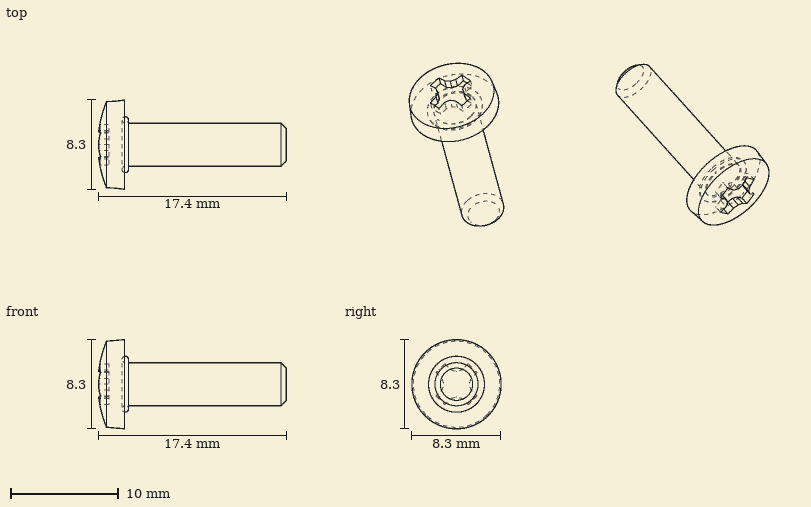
import cadquery as cq
import math

overall_length = 17.43
shank_length = 15.0
shank_radius = 2.0
tip_chamfer = 0.5

head_rim_radius = 4.0
head_base_radius = 4.15
dome_radius = 10.5

recess_depth = 0.95
wing_reach = 2.1
wing_half_width = 0.575
wing_root_reach = 1.31
waist_reach = 1.175
wing_count = 4
first_wing_angle = 45.0

ring_section_radius = 0.3
ring_protrusion = 0.36

underside_x = overall_length - shank_length
dome_centre_x = math.sqrt(dome_radius**2 - waist_reach**2)
dome_apex_x = dome_centre_x - dome_radius
ring_centre_x = underside_x + ring_protrusion - ring_section_radius

ring_mean_radius = shank_radius + ring_section_radius


def dome_x(radius):
    """X of the dome surface at a distance from the axis."""
    return dome_centre_x - math.sqrt(dome_radius**2 - radius**2)


def make_blank():
    """Domed head, flared head side and chamfered shank, turned about X."""
    mid_radius = head_rim_radius / 2
    profile = (
        cq.Workplane("XZ")
        .moveTo(dome_apex_x, 0)
        .threePointArc((dome_x(mid_radius), mid_radius), (dome_x(head_rim_radius), head_rim_radius))
        .lineTo(underside_x, head_base_radius)
        .lineTo(underside_x, shank_radius)
        .lineTo(overall_length - tip_chamfer, shank_radius)
        .lineTo(overall_length, shank_radius - tip_chamfer)
        .lineTo(overall_length, 0)
        .close()
    )
    return profile.revolve(360, (0, 0, 0), (1, 0, 0))


def from_wing_axis(along, across, angle):
    """Turn a point given along and across a wing into (Y, Z)."""
    return (
        along * math.cos(angle) - across * math.sin(angle),
        along * math.sin(angle) + across * math.cos(angle),
    )


def make_recess():
    """Cross recess: straight wings with a shallow corner between neighbours."""
    outline = []
    wing_pitch = 2 * math.pi / wing_count
    for i in range(wing_count):
        angle = math.radians(first_wing_angle) + i * wing_pitch
        outline.append(from_wing_axis(wing_root_reach, -wing_half_width, angle))
        outline.append(from_wing_axis(wing_reach, -wing_half_width, angle))
        outline.append(from_wing_axis(wing_reach, wing_half_width, angle))
        outline.append(from_wing_axis(wing_root_reach, wing_half_width, angle))
        outline.append(from_wing_axis(waist_reach, 0, angle + wing_pitch / 2))
    start = cq.Workplane("YZ", origin=(dome_apex_x, 0, 0))
    return start.polyline(outline).close().extrude(recess_depth - dome_apex_x)


def make_ring():
    """Round-section sealing ring."""
    torus = cq.Solid.makeTorus(
        ring_mean_radius, ring_section_radius, cq.Vector(ring_centre_x, 0, 0), cq.Vector(1, 0, 0)
    )
    return cq.Workplane(torus)


ring = make_ring()

screw = make_blank().cut(make_recess()).cut(ring)

result = cq.Compound.makeCompound([screw.solids().val(), ring.val()])